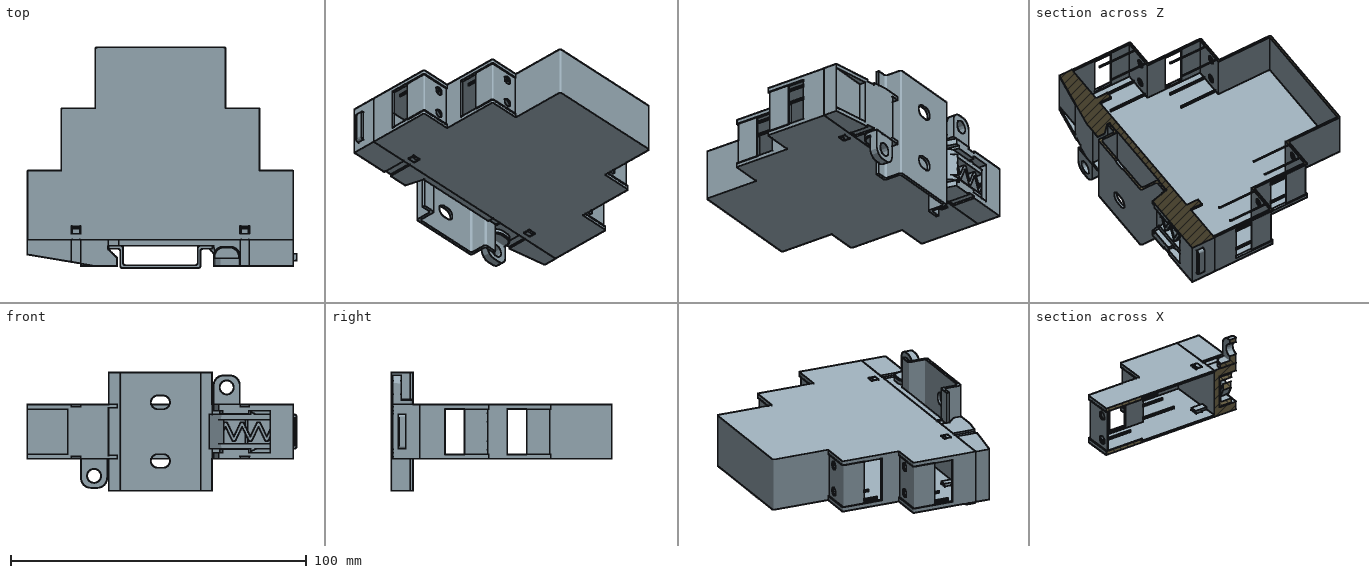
import cadquery as cq
import math


rail_length = 40.0
rail_height = 7.5
rail_gauge = 1.0
rail_flange_half = 17.5
rail_web_half = 13.6
rail_bend_radius = 0.7
rail_slot_length = 6.4
rail_slot_width = 4.6
rail_slot_spacing = 19.8

module_width = 18.4
module_half = module_width / 2
cover_bottom = 9.7
overall_depth = 74.7
wall = 0.9
opening_half = 7.7

cover_half_lengths = [45.0, 33.6, 22.1]
cover_tops = [33.0, 54.1, overall_depth]
cover_corner_radius = 0.6
step_corner_radius = 0.4

entry_bottom_drop = 14.8
entry_top_drop = 8.2
terminal_recess = 0.4
screw_hole_diameter = 2.9
screw_hole_inset = 7.75
screw_hole_z = 4.7
rib_insets = [3.65, 10.6]
rib_width = 0.4

snap_centre = 28.5
snap_width = 3.1
snap_clearance = 0.3
snap_bottom = 11.7
snap_height = 2.55
snap_gap = 0.4
snap_bevel = 0.55
snap_groove_depth = 0.7

base_left = -45.05
base_right = cover_half_lengths[0]
base_front = 0.6
ramp_start_y = 4.6
ramp_end_x = -21.6
grip_pocket_end = -31.3
hook_tip_x = -14.6
hook_root_x = -17.7
hook_tip_y = 3.5
hook_root_y = rail_height - rail_gauge
hook_gap_half = 8.0
hook_relief_end = -14.0
hook_relief_depth = 0.55
cheek_top_x = 18.0
cheek_front_x = 19.7
latch_bay_end = 37.1
latch_bay_half = 7.1
guide_half = 6.0
guide_start = 21.2
guide_root_start = 20.1
guide_end = 29.8

latch_half = 5.8
latch_front = 2.5
latch_back = rail_height
tongue_back = 4.9
nose_tip_x = 16.6
nose_back_x = 21.4
nose_front_y = 1.4
nose_back_y = hook_root_y
nose_step_x = rail_flange_half
shoulder_radius = 2.1
spring_bay_half = 4.0
deep_floor_y = 6.9
raised_floor_y = 6.0
floor_step_start = 28.6
floor_step_end = 29.55
pull_end = 46.15
pull_corner = 1.0
grip_groove_half = 4.7
grip_groove_width = 0.3
grip_groove_depth = 0.3
grip_groove_starts = [45.2, 45.7]
barb_start = 30.55
barb_length = 1.8
barb_height = 0.8

spring_front = 2.7
spring_back = raised_floor_y
spring_pitch = 5.6
spring_peak_x = 27.6
spring_amplitude = 2.9
spring_thickness = 1.1
spring_bend_radius = 0.7

lug_centre = 22.4
lug_width = 8.9
lug_tip = 19.1
lug_corner_radius = 3.5
lug_hole_diameter = 4.65
lug_hole_z = 15.0
lug_plate_back = 3.4
lug_foot_back = 7.3
lug_foot_thickness = 1.7
lug_foot_bevel = 0.4
lug_inner_radius = 0.3


def box(x, y, z):
    """Block between the given (low, high) pairs along X, Y and Z."""
    size = (x[1] - x[0], y[1] - y[0], z[1] - z[0])
    return cq.Workplane("XY").box(*size, centered=False).translate((x[0], y[0], z[0]))


def prism(points, half_width):
    """Closed XY outline extruded symmetrically about Z = 0."""
    return cq.Workplane("XY").polyline(points).close().extrude(half_width, both=True)


def both_z_sides(shape):
    """The shape together with its mirror image across Z = 0."""
    return shape.union(shape.mirror("XY"))


def make_rail():
    top = rail_height
    under = rail_height - rail_gauge
    inner = rail_web_half - rail_gauge
    half = [
        (rail_web_half, 0),
        (rail_web_half, under),
        (rail_flange_half, under),
        (rail_flange_half, top),
        (inner, top),
        (inner, rail_gauge),
    ]
    mirrored = [(-x, y) for x, y in reversed(half)]
    rail = prism(half + mirrored, rail_length / 2)
    bends = [(rail_web_half, 0), (rail_web_half, under), (inner, top), (inner, rail_gauge)]
    for x, y in bends:
        for side in (-1, 1):
            edge = cq.selectors.NearestToPointSelector((side * x, y, 0))
            rail = rail.edges("|Z").edges(edge).fillet(rail_bend_radius)
    slots = (
        cq.Workplane("XZ")
        .pushPoints([(0, -rail_slot_spacing / 2), (0, rail_slot_spacing / 2)])
        .slot2D(rail_slot_length, rail_slot_width)
        .extrude(-rail_gauge)
    )
    return rail.cut(slots)


def stepped_body(inset, half_width):
    """Three stacked tiers, drawn in by the inset on their ends and tops."""
    body = None
    for half_length, top in zip(cover_half_lengths, cover_tops):
        end = half_length - inset
        tier = box((-end, end), (cover_bottom, top - inset), (-half_width, half_width))
        body = tier if body is None else body.union(tier)
    return body


def snap_positions():
    return [-snap_centre, snap_centre]


def span_about(centre, width):
    """Low and high ends of a width centred on a position."""
    return (centre - width / 2, centre + width / 2)


def make_cover():
    cover = stepped_body(0, module_half)
    for half_length, top in zip(cover_half_lengths, cover_tops):
        radius = cover_corner_radius if top == overall_depth else step_corner_radius
        for side in (-1, 1):
            corner = cq.selectors.NearestToPointSelector((side * half_length, top, 0))
            cover = cover.edges("|Z").edges(corner).fillet(radius)
    cover = cover.cut(stepped_body(wall, module_half - wall))
    for tier in range(len(cover_tops) - 1):
        terminal = terminal_cuts(tier)
        ribs = terminal_ribs(tier)
        cover = cover.cut(terminal).cut(terminal.mirror("YZ"))
        cover = cover.union(ribs).union(ribs.mirror("YZ"))
    for centre in snap_positions():
        window = box(
            span_about(centre, snap_width),
            (snap_bottom, snap_bottom + snap_height),
            (module_half - wall, module_half),
        )
        cover = cover.cut(both_z_sides(window))
    return cover


def terminal_cuts(tier):
    """Recess wrapping over the step, wire entry in the end wall and screw holes in the step."""
    end = cover_half_lengths[tier]
    next_end = cover_half_lengths[tier + 1]
    top = cover_tops[tier]
    opening = (-opening_half, opening_half)
    entry_bottom = top - entry_bottom_drop
    entry_top = top - entry_top_drop
    keep = box((0, end - terminal_recess), (0, top - terminal_recess), opening)
    keep = keep.edges(">X and >Y").fillet(step_corner_radius)
    recess = box((next_end, end), (entry_top, top), opening).cut(keep)
    entry = box((end - wall, end), (entry_bottom, entry_top), opening)
    screw_holes = (
        cq.Workplane("XZ", origin=(0, top, 0))
        .pushPoints([(end - screw_hole_inset, -screw_hole_z), (end - screw_hole_inset, screw_hole_z)])
        .circle(screw_hole_diameter / 2)
        .extrude(wall)
    )
    return recess.union(entry).union(screw_holes)


def terminal_ribs(tier):
    """Low ribs across the inside of both large walls, level with the sides of the wire entry."""
    end = cover_half_lengths[tier]
    top = cover_tops[tier]
    ribs = cq.Workplane("XY")
    for inset in rib_insets:
        rib = box(
            (end - inset - rib_width, end - inset),
            (top - entry_bottom_drop, top - wall),
            (opening_half, module_half - wall),
        )
        ribs = ribs.add(both_z_sides(rib))
    return ribs.combine()


def make_base():
    outline = [
        (base_left, cover_bottom),
        (base_left, ramp_start_y),
        (ramp_end_x, base_front),
        (hook_tip_x, base_front),
        (hook_tip_x, hook_tip_y),
        (hook_root_x, hook_root_y),
        (hook_root_x, rail_height),
        (cheek_top_x, rail_height),
        (cheek_front_x, base_front),
        (base_right, base_front),
        (base_right, cover_bottom),
    ]
    base = prism(outline, module_half)
    base = base.cut(grip_pocket()).cut(hook_cuts()).cut(latch_bay())
    for centre in snap_positions():
        base = add_snap(base, centre)
    return base


def grip_pocket():
    """Flat-bottomed pocket in the ramp for lifting the module."""
    return box((base_left, grip_pocket_end), (0, ramp_start_y), (-opening_half, opening_half))


def hook_cuts():
    """Gap between the two hook cheeks and the shallow relief on each outer face above them."""
    gap = box((hook_root_x, hook_tip_x), (0, hook_root_y), (-hook_gap_half, hook_gap_half))
    relief = box(
        (hook_root_x, hook_relief_end),
        (rail_height, cover_bottom),
        (module_half - hook_relief_depth, module_half),
    )
    return gap.union(both_z_sides(relief))


def latch_bay():
    """Open bay holding the latch, with guide ribs along it and a tunnel out of the right end."""
    bay = box((nose_tip_x, latch_bay_end), (0, rail_height), (-latch_bay_half, latch_bay_half))
    guides = prism(
        [
            (guide_start, base_front),
            (guide_root_start, rail_height),
            (guide_end, rail_height),
            (guide_end, base_front),
        ],
        latch_bay_half,
    )
    passage = box((nose_tip_x, latch_bay_end), (0, rail_height), (-guide_half, guide_half))
    tunnel = box((latch_bay_end, base_right), (latch_front, tongue_back), (-latch_half, latch_half))
    return bay.cut(guides).union(passage).union(tunnel)


def add_snap(base, centre):
    """Groove in both outer faces, continued into the cover as a tongue with a bevelled catch."""
    cover_inside = module_half - wall
    groove_floor = module_half - snap_groove_depth
    snap_top = snap_bottom + snap_height
    groove = box(span_about(centre, snap_width), (0, cover_bottom), (groove_floor, module_half))
    catch_x = span_about(centre, snap_width - 2 * snap_clearance)
    tongue = box(catch_x, (cover_bottom, snap_top), (cover_inside - wall, cover_inside))
    catch = box(catch_x, (snap_bottom, snap_top - snap_gap), (cover_inside, module_half))
    catch = catch.faces(">Z").edges(">Y").chamfer(snap_bevel)
    return base.cut(both_z_sides(groove)).union(both_z_sides(tongue.union(catch)))


def make_latch():
    slope = (nose_front_y - nose_back_y) / (nose_back_x - nose_tip_x)
    shoulder_x = nose_tip_x + (latch_front - nose_back_y) / slope
    back = [(nose_step_x, latch_back), (nose_step_x, nose_back_y)]
    tip = (nose_tip_x, nose_back_y)
    nose = prism([tip, (nose_back_x, nose_front_y), (nose_back_x, latch_back)] + back, spring_bay_half)
    bar = prism(
        [
            tip,
            (shoulder_x, latch_front),
            (latch_bay_end, latch_front),
            (latch_bay_end, latch_back),
        ] + back,
        latch_half,
    )
    shoulder = cq.selectors.NearestToPointSelector((shoulder_x, latch_front, 0))
    bar = bar.edges("|Z").edges(shoulder).fillet(shoulder_radius)
    latch = bar.union(nose).cut(spring_bay())
    return latch.union(pull_tongue()).union(barbs()).union(spring())


def pull_tongue():
    """Tongue through the base's right end, rounded at its tip and grooved across for grip."""
    tongue = box((latch_bay_end, pull_end), (latch_front, tongue_back), (-latch_half, latch_half))
    tongue = tongue.edges("|Y and >X").fillet(pull_corner)
    for start in grip_groove_starts:
        groove = box(
            (start, start + grip_groove_width),
            (latch_front, latch_front + grip_groove_depth),
            (-grip_groove_half, grip_groove_half),
        )
        tongue = tongue.cut(groove)
    return tongue


def spring_bay():
    """Pocket for the spring, with a ramp up from the deep floor to the raised floor."""
    outline = [
        (nose_back_x, 0),
        (nose_back_x, deep_floor_y),
        (floor_step_start, deep_floor_y),
        (floor_step_end, raised_floor_y),
        (latch_bay_end, raised_floor_y),
        (latch_bay_end, 0),
    ]
    return prism(outline, spring_bay_half)


def barbs():
    """Wedge on each long side that stops the latch against the end of the guides."""
    wedge = (
        cq.Workplane("XZ", origin=(0, latch_front, 0))
        .polyline([
            (barb_start, latch_half),
            (barb_start, latch_half + barb_height),
            (barb_start + barb_length, latch_half),
        ])
        .close()
        .extrude(latch_front - tongue_back)
    )
    return both_z_sides(wedge)


def spring():
    """Flat zigzag spring of constant thickness, rounded on the outside of each bend."""
    half_pitch = spring_pitch / 2
    flank_slope = 2 * spring_amplitude / half_pitch
    offset = spring_thickness / 2 * math.hypot(1, flank_slope)
    first_bend = math.floor((nose_back_x - spring_peak_x) / half_pitch)
    last_bend = math.ceil((latch_bay_end - spring_peak_x) / half_pitch)
    bends = []
    for n in range(first_bend, last_bend + 1):
        direction = 1 if n % 2 == 0 else -1
        bends.append((spring_peak_x + n * half_pitch, direction))
    upper = [(x, d * spring_amplitude + offset) for x, d in bends]
    lower = [(x, d * spring_amplitude - offset) for x, d in bends]
    strip = (
        cq.Workplane("XZ", origin=(0, spring_back, 0))
        .polyline(upper + lower[::-1])
        .close()
        .extrude(spring_back - spring_front)
    )
    for x, direction in bends[1:-1]:
        tip = (x, (spring_front + spring_back) / 2, direction * (spring_amplitude + offset))
        strip = strip.edges("|Y").edges(cq.selectors.NearestToPointSelector(tip)).fillet(spring_bend_radius)
    return strip.intersect(box((nose_back_x, latch_bay_end), (0, latch_back), (-latch_half, latch_half)))


def make_lug(side):
    """L-shaped lug: a foot on the base's outer face and an upright plate with a screw hole."""
    x = span_about(lug_centre, lug_width)
    foot_top = module_half + lug_foot_thickness
    foot = box(x, (base_front, lug_foot_back), (module_half, foot_top))
    foot = foot.edges("|Z and >Y").fillet(lug_corner_radius)
    foot = foot.faces(">Z").edges(">Y").chamfer(lug_foot_bevel)
    plate = box(x, (base_front, lug_plate_back), (module_half, lug_tip))
    plate = plate.edges("|Y and >Z").fillet(lug_corner_radius)
    hole = (
        cq.Workplane("XZ")
        .center(lug_centre, lug_hole_z)
        .circle(lug_hole_diameter / 2)
        .extrude(-lug_plate_back)
    )
    inner_edge = cq.selectors.NearestToPointSelector((lug_centre, lug_plate_back, foot_top))
    lug = foot.union(plate).edges("|X").edges(inner_edge).fillet(lug_inner_radius).cut(hole)
    return lug if side > 0 else lug.rotate((0, 0, 0), (0, 1, 0), 180)


rail = make_rail()
cover = make_cover()
base = make_base()
latch = make_latch()
lugs = [make_lug(side) for side in (-1, 1)]

result = cq.Compound.makeCompound([
    rail.val(),
    cover.val(),
    base.val(),
    latch.val(),
    *[lug.val() for lug in lugs],
])